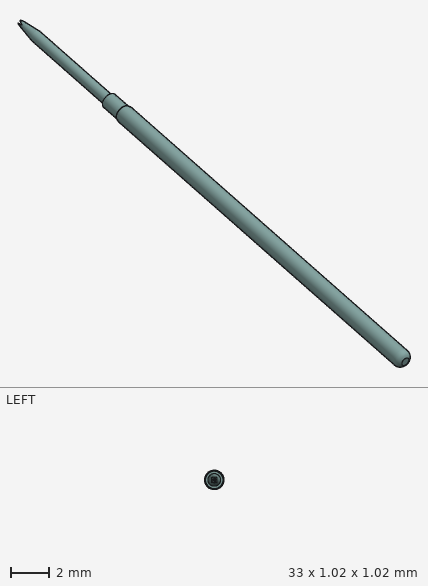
import cadquery as cq

total_length = 33.02
taper_end = 1.35
collar_start = 7.62
lip_start = 8.83
barrel_start = 8.98
nose_start = total_length - 0.36

tip_diameter = 0.30
plunger_diameter = 0.66
collar_diameter = 0.91
lip_diameter = 0.94
barrel_diameter = 1.02
nose_flat_diameter = 0.46

groove_width = 0.16
groove_depth = 0.30
groove_angles = (45, 135)


def build_pin():
    """Revolve the half profile of the spring contact pin around the X axis."""
    profile = (
        cq.Workplane("XY")
        .lineTo(0, tip_diameter / 2)
        .lineTo(taper_end, plunger_diameter / 2)
        .lineTo(collar_start, plunger_diameter / 2)
        .lineTo(collar_start, collar_diameter / 2)
        .lineTo(lip_start, collar_diameter / 2)
        .lineTo(lip_start, lip_diameter / 2)
        .lineTo(barrel_start, barrel_diameter / 2)
        .lineTo(nose_start, barrel_diameter / 2)
        .tangentArcPoint((total_length, nose_flat_diameter / 2), relative=False)
        .lineTo(total_length, 0)
        .close()
    )
    return profile.revolve(360, (0, 0, 0), (1, 0, 0))


def crown_groove(angle):
    """V-shaped cutter across the tip face, turned about the X axis."""
    half_width = groove_width / 2
    section = cq.Workplane("XY").polyline([(0, -half_width), (groove_depth, 0), (0, half_width)])
    cutter = section.close().extrude(plunger_diameter, both=True)
    return cutter.rotate((0, 0, 0), (1, 0, 0), angle)


result = build_pin()
for groove_angle in groove_angles:
    result = result.cut(crown_groove(groove_angle))